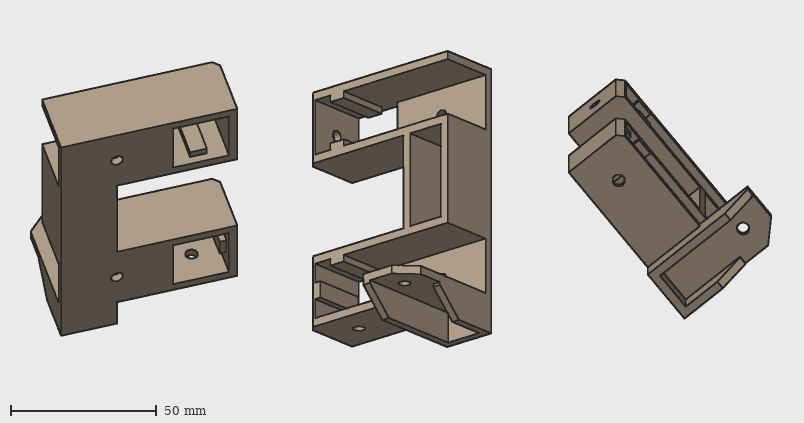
import cadquery as cq

depth = 23.0
length = 63.0
height = 97.0
wall = 3.0
hole_diameter = 4.2

box_height = 26.0
lower_box_base = 11.0
upper_box_base = height - box_height
post_width = 20.0
window_length = 20.0
edge_chamfer = 2.2
post_pocket_chamfer = 1.2

key_width = 6.0
key_height = 2.4

tab_length = 44.0 - depth
tab_chamfer = 7.1
tab_hole_x = -11.0
web_lip = 1.0
near_web_front = -4.0

inner_depth = depth - wall
inner_length = length - wall
inner_height = box_height - 2 * wall
window_center_y = inner_length - window_length / 2
panel_hole_y = (inner_length - window_length) / 2


def block(x0, x1, y0, y1, z0, z1):
    """Box between two opposite corners."""
    return cq.Workplane("XY").box(x1 - x0, y1 - y0, z1 - z0, centered=False).translate((x0, y0, z0))


def hole(start, direction, reach):
    """Round cutter from a start point along a direction."""
    return cq.Workplane(cq.Solid.makeCylinder(
        hole_diameter / 2, reach, cq.Vector(*start), cq.Vector(*direction)))


def open_box(base):
    """Box open at the front and near end, with a window and a hole in its back panel."""
    top = base + box_height
    middle = base + box_height / 2
    body = block(0, depth, 0, length, base, top)
    body = body.edges("|Z and <X and >Y").chamfer(edge_chamfer)
    body = body.cut(block(0, inner_depth, 0, inner_length, base + wall, top - wall))
    window_start = inner_length - window_length
    body = body.cut(block(inner_depth, depth, window_start, inner_length, base + wall, top - wall))
    return body.cut(hole((inner_depth, panel_hole_y, middle), (1, 0, 0), wall))


def horizontal_key(base):
    """Key running along the depth, centred on the window."""
    y0 = window_center_y - key_width / 2
    return block(0, inner_depth, y0, y0 + key_width, base, base + key_height)


def upper_box():
    """Box with keys on its floor and ceiling and a hole in its end wall."""
    floor = upper_box_base + wall
    body = open_box(upper_box_base)
    body = body.union(horizontal_key(floor))
    body = body.union(horizontal_key(floor + inner_height - key_height))
    middle = upper_box_base + box_height / 2
    return body.cut(hole((depth / 2, inner_length, middle), (0, 1, 0), wall))


def lower_box():
    """Box with keys on its ceiling and end wall and a hole in its floor."""
    floor = lower_box_base + wall
    middle = lower_box_base + box_height / 2
    body = open_box(lower_box_base)
    body = body.union(horizontal_key(floor + inner_height - key_height))
    end_key = block(0, inner_depth, inner_length - key_height, inner_length,
                    middle - key_width / 2, middle + key_width / 2)
    body = body.union(end_key)
    return body.cut(hole((depth / 2, window_center_y, lower_box_base), (0, 0, 1), wall))


def post():
    """Post between the boxes, with a front pocket chamfered at its back corners."""
    base = lower_box_base + box_height
    body = block(0, depth, 0, post_width, base, upper_box_base)
    pocket = block(0, inner_depth, wall, post_width - wall, base, upper_box_base)
    return body.cut(pocket.edges("|Z and >X").chamfer(post_pocket_chamfer))


def web(front, y0):
    """Side web with a short upright lip above a 45 degree front edge."""
    slope = lower_box_base - web_lip
    outline = [
        (front, lower_box_base),
        (front, slope),
        (front + slope, 0),
        (depth, 0),
        (depth, lower_box_base),
    ]
    return cq.Workplane("XZ", origin=(0, y0 + wall, 0)).polyline(outline).close().extrude(wall)


def foot():
    """Tab at the floor level of the lower box, carried by two webs and a back wall."""
    tab = block(-tab_length, 0, 0, post_width, lower_box_base, lower_box_base + wall)
    tab = tab.edges("|Z and <X and <Y").chamfer(tab_chamfer)
    tab = tab.cut(hole((tab_hole_x, post_width / 2, lower_box_base), (0, 0, 1), wall))
    back = block(inner_depth, depth, 0, post_width, 0, lower_box_base)
    near_web = web(near_web_front, 0)
    far_web = web(-tab_length, post_width - wall)
    return tab.union(back).union(near_web).union(far_web)


result = lower_box().union(post()).union(upper_box()).union(foot())